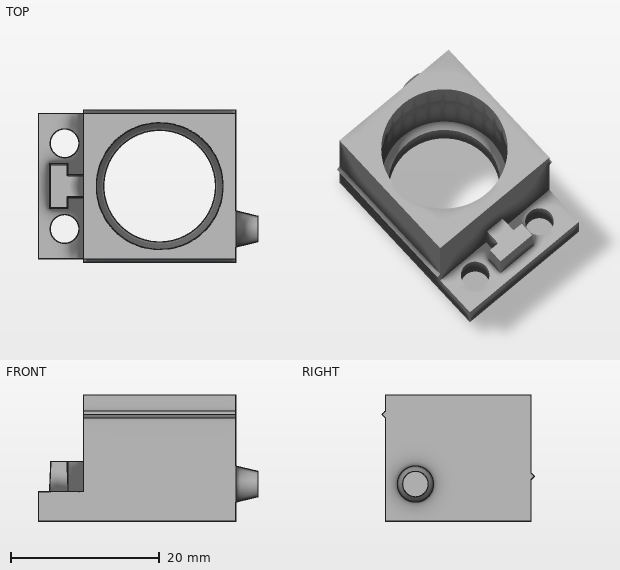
import cadquery as cq

total_length = 29.5
nose_length = 2.98
base_length = total_length - nose_length
base_thickness = 3.98
width = 19.55
height = 17.0
body_start = 6.05
body_length = base_length - body_start

bore_x = body_start + body_length / 2
bore_rim_radius = 8.5
bore_waist_radius = 8.58
exit_radius = 7.5
waist_z = 11.33
shoulder_top_z = 3.98
shoulder_drop = 0.55

hole_diameter = 3.84
hole_x = 3.5
hole_offset_y = 5.75

key_start = 1.48
key_head_length = 2.5
key_head_width = 6.05
key_stem_width = 3.13
key_height = 4.07
key_draft_angle = 2.5
key_embed = 0.88

ridge_depth = 0.47
front_ridge_z = 14.37
rear_ridge_z = 6.05

nose_z = 5.02
nose_root_diameter = 4.87
nose_tip_diameter = 3.42


def make_block():
    base = cq.Workplane("XY").box(base_length, width, base_thickness, centered=(False, True, False))
    body = cq.Workplane("XY").box(body_length, width, height, centered=(False, True, False))
    return base.union(body.translate((body_start, 0, 0)))


def make_key():
    """Drafted T whose stem runs into the body."""
    head_end = key_start + key_head_length
    stem_end = body_start + key_embed
    half_head = key_head_width / 2
    half_stem = key_stem_width / 2
    outline = [
        (key_start, -half_head),
        (head_end, -half_head),
        (head_end, -half_stem),
        (stem_end, -half_stem),
        (stem_end, half_stem),
        (head_end, half_stem),
        (head_end, half_head),
        (key_start, half_head),
    ]
    profile = cq.Workplane("XY").workplane(offset=base_thickness).polyline(outline).close()
    return profile.extrude(key_height, taper=key_draft_angle)


def make_ridge(side, centre_z):
    """Right-angled ridge on the face at side * width / 2."""
    face_y = side * width / 2
    return (
        cq.Workplane("YZ", origin=(body_start, 0, 0))
        .moveTo(face_y, centre_z - ridge_depth)
        .lineTo(face_y + side * ridge_depth, centre_z)
        .lineTo(face_y, centre_z + ridge_depth)
        .close()
        .extrude(body_length)
    )


def make_nose():
    return (
        cq.Workplane("YZ", origin=(base_length, -hole_offset_y, nose_z))
        .circle(nose_root_diameter / 2)
        .workplane(offset=nose_length)
        .circle(nose_tip_diameter / 2)
        .loft(ruled=True)
    )


def make_bore():
    """Half profile in X-Z, revolved about the vertical bore axis."""
    profile = [
        (0, 0),
        (exit_radius, 0),
        (exit_radius, shoulder_top_z - shoulder_drop),
        (bore_rim_radius, shoulder_top_z),
        (bore_waist_radius, waist_z),
        (bore_rim_radius, height),
        (0, height),
    ]
    half_section = cq.Workplane("XZ").polyline(profile).close()
    return half_section.revolve(360, (0, 0, 0), (0, 1, 0)).translate((bore_x, 0, 0))


def make_mounting_holes():
    centres = [(hole_x, -hole_offset_y), (hole_x, hole_offset_y)]
    return cq.Workplane("XY").pushPoints(centres).circle(hole_diameter / 2).extrude(base_thickness)


result = (
    make_block()
    .union(make_key())
    .union(make_ridge(-1, front_ridge_z))
    .union(make_ridge(1, rear_ridge_z))
    .union(make_nose())
    .cut(make_bore())
    .cut(make_mounting_holes())
)